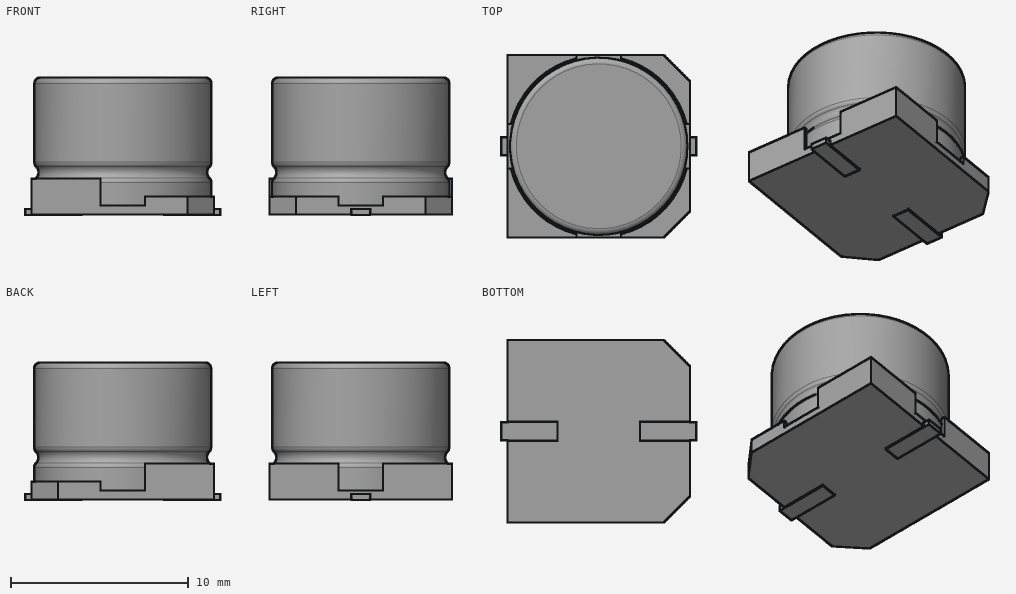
import cadquery as cq
import math

base_side = 10.3
standoff = 0.03
base_top = 2.06
low_top = 1.05
corner_chamfer = 1.5
recess_floor = 0.55
recess_radius = 5.1
gap_width = 2.5

can_radius = 4.99
can_top = 7.75
top_fillet = 0.35
top_fillet_mid_angle = 45.0
groove_height = 2.41
groove_radius = 0.46
shoulder_radius = 0.35
groove_angle = 45.0

overall_length = 11.0
lead_length = 3.19
lead_width = 1.02
lead_top = 0.35
slot_clearance = 0.03


def make_box(x_size, y_size, bottom, top, x_center=0):
    return (
        cq.Workplane("XY", origin=(x_center, 0, bottom))
        .rect(x_size, y_size)
        .extrude(top - bottom)
    )


def make_base():
    """Chamfered block with two low corners, a round recess and a gap in each wall."""
    base = make_box(base_side, base_side, standoff, base_top)
    base = base.edges("|Z and >X").chamfer(corner_chamfer)
    low_size = (base_side - gap_width) / 2
    low_center = (base_side - low_size) / 2
    base = base.cut(make_box(low_size, base_side, low_top, base_top, low_center))
    recess = cq.Workplane("XY", origin=(0, 0, recess_floor)).circle(recess_radius)
    base = base.cut(recess.extrude(base_top - recess_floor))
    base = base.cut(make_box(base_side, gap_width, recess_floor, base_top))
    return base.cut(make_box(gap_width, base_side, recess_floor, base_top))


def arc_offset(radius, angle):
    """Distances across and along the axis covered by an arc that starts parallel to it."""
    turn = math.radians(angle)
    return radius * (1 - math.cos(turn)), radius * math.sin(turn)


def make_can():
    """Revolve the half section: wall, rounded groove, wall and rounded top edge."""
    shoulder_in, shoulder_rise = arc_offset(shoulder_radius, groove_angle)
    shoulder_mid_in, shoulder_mid_rise = arc_offset(shoulder_radius, groove_angle / 2)
    groove_out, groove_rise = arc_offset(groove_radius, groove_angle)

    blend_radius = can_radius - shoulder_in
    neck_radius = blend_radius - groove_out
    shoulder_end = groove_rise + shoulder_rise
    shoulder_mid = (can_radius - shoulder_mid_in, shoulder_end - shoulder_mid_rise)
    fillet_in, fillet_rise = arc_offset(top_fillet, top_fillet_mid_angle)

    return (
        cq.Workplane("XZ")
        .moveTo(0, recess_floor)
        .lineTo(can_radius, recess_floor)
        .lineTo(can_radius, groove_height - shoulder_end)
        .threePointArc(
            (shoulder_mid[0], groove_height - shoulder_mid[1]),
            (blend_radius, groove_height - groove_rise),
        )
        .threePointArc((neck_radius, groove_height), (blend_radius, groove_height + groove_rise))
        .threePointArc(
            (shoulder_mid[0], groove_height + shoulder_mid[1]),
            (can_radius, groove_height + shoulder_end),
        )
        .lineTo(can_radius, can_top - top_fillet)
        .threePointArc(
            (can_radius - fillet_in, can_top - top_fillet + fillet_rise),
            (can_radius - top_fillet, can_top),
        )
        .lineTo(0, can_top)
        .close()
        .revolve(360, (0, 0, 0), (0, 1, 0))
    )


result = make_base().union(make_can())
lead_center = (overall_length - lead_length) / 2
slot_width = lead_width + 2 * slot_clearance
for side in (-1, 1):
    slot = make_box(lead_length, slot_width, 0, lead_top, side * lead_center)
    lead = make_box(lead_length, lead_width, 0, lead_top, side * lead_center)
    result = result.cut(slot).union(lead)